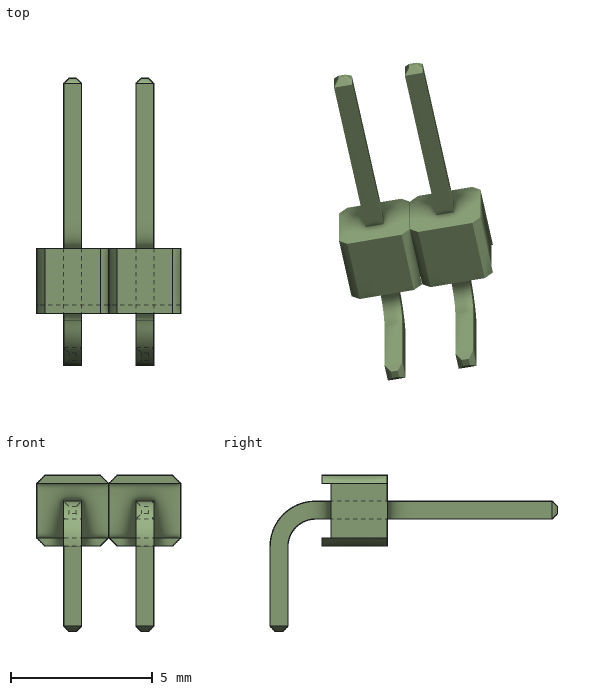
import cadquery as cq

position_count = 2
pitch = 2.54

housing_width = 2.53
housing_length = 2.3
housing_height = 2.5
bevel = 0.29
face_recess = 0.31

wire_size = 0.64
wire_rise = 0.02
bend_inner_radius = 0.96
bend_outer_radius = bend_inner_radius + wire_size
bend_mid_radius = bend_inner_radius + wire_size / 2
front_reach = 1.83
overall_length = 10.13
overall_height = 5.51
tip_length = 0.19
tip_inset = 0.19

tail_end_y = overall_length - front_reach
housing_center_z = -wire_rise
leg_end_z = housing_center_z + housing_height / 2 - overall_height
leg_center_y = wire_size / 2 - front_reach
bend_start_y = bend_outer_radius - front_reach
tip_face_size = wire_size - 2 * tip_inset


def pin_position(index):
    """X of a position in the row, which is centred on X = 0."""
    return (index - (position_count - 1) / 2) * pitch


def make_tip(base_plane):
    """Tapered square tip that grows along the normal of its base plane."""
    return (
        cq.Workplane(base_plane)
        .rect(wire_size, wire_size)
        .workplane(offset=tip_length)
        .rect(tip_face_size, tip_face_size)
        .loft(ruled=True)
    )


def make_pin(center_x):
    """Bent square wire with a tapered tip on each end."""
    tail_base = cq.Plane((center_x, tail_end_y - tip_length, 0), (1, 0, 0), (0, 1, 0))
    leg_base = cq.Plane((center_x, leg_center_y, leg_end_z + tip_length), (1, 0, 0), (0, 0, -1))
    path = (
        cq.Workplane(cq.Plane((center_x, 0, 0), (0, 1, 0), (1, 0, 0)))
        .moveTo(tail_end_y - tip_length, 0)
        .lineTo(bend_start_y, 0)
        .radiusArc((leg_center_y, -bend_mid_radius), -bend_mid_radius)
        .lineTo(leg_center_y, leg_end_z + tip_length)
    )
    wire = cq.Workplane(tail_base).rect(wire_size, wire_size).sweep(path)
    return wire.union(make_tip(tail_base)).union(make_tip(leg_base))


def make_housing(center_x):
    """Bevelled block with a recessed front face and a square hole for its pin."""
    block = (
        cq.Workplane("XY")
        .box(housing_width, housing_length, housing_height, centered=(True, False, True))
        .edges("|Y")
        .chamfer(bevel)
    )
    recess = cq.Workplane("XY").box(
        housing_width, face_recess, housing_height - 2 * bevel, centered=(True, False, True)
    )
    pin_hole = cq.Workplane("XY").box(
        wire_size, housing_length, wire_size, centered=(True, False, True)
    )
    shell = block.cut(recess).translate((center_x, 0, housing_center_z))
    return shell.cut(pin_hole.translate((center_x, 0, 0)))


positions = [pin_position(index) for index in range(position_count)]
housings = [make_housing(center_x).val() for center_x in positions]
pins = [make_pin(center_x).val() for center_x in positions]

result = cq.Compound.makeCompound([*housings, *pins])